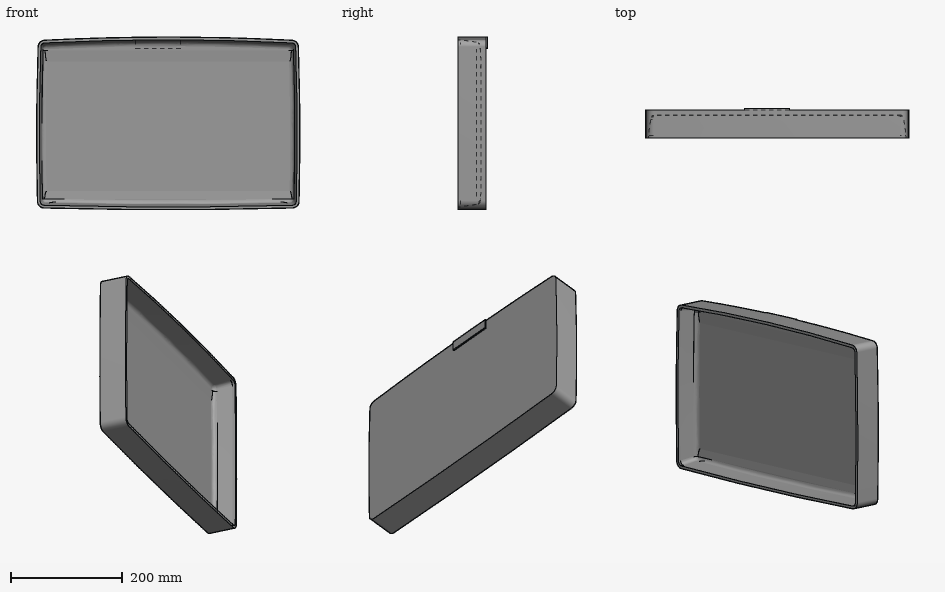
import cadquery as cq
import math

WIDTH = 471.34
HEIGHT = 309.16
TRAY_DEPTH = 50.8
PAD_THICKNESS = 2.54

TOP_RADIUS = 4350.0
BOTTOM_RADIUS = 8330.0
SIDE_RADIUS = 4700.0
SIDE_CREST_Z = -22.0
CORNER_RADIUS = 12.7
CORNER_STEPS = 6

WALL = 5.08
INNER_RADIUS = CORNER_RADIUS - WALL
LIP_DEPTH = 5.08
DRAFT_ANGLE = 8.5
FLOOR_Y = 41.5
CHANNEL_Y = 40.2
FLAT_TOP_Z = 110.0
FLAT_BOTTOM_Z = -121.4
CHANNEL_TOP_Z = 130.0
CHANNEL_BOTTOM_Z = -135.6

PAD_WIDTH = 81.0
PAD_HEIGHT = 20.5
PAD_CENTER_X = -18.2


def arc_drop(radius, distance):
    """Fall of an arc below its crest at a distance from the crest."""
    return radius - math.sqrt(radius**2 - distance**2)


def side_x(z, inset):
    """Half width of the outline at height z."""
    return WIDTH / 2 - inset - arc_drop(SIDE_RADIUS - inset, z - SIDE_CREST_Z)


def top_z(x, inset):
    """Height of the top arc at x."""
    return HEIGHT / 2 - inset - arc_drop(TOP_RADIUS - inset, x)


def bottom_z(x, inset):
    """Height of the bottom arc at x."""
    return -HEIGHT / 2 + inset + arc_drop(BOTTOM_RADIUS - inset, x)


def corner(edge_z, inset):
    """Point where a side arc meets the top or bottom arc."""
    x = WIDTH / 2 - inset
    for _ in range(CORNER_STEPS):
        x = side_x(edge_z(x, inset), inset)
    return x, edge_z(x, inset)


def outline(inset, y):
    """Bowed four-arc outline, inset from the outer one, in the plane at depth y."""
    top_x, top_corner_z = corner(top_z, inset)
    bottom_x, bottom_corner_z = corner(bottom_z, inset)
    half_width = WIDTH / 2 - inset
    return (
        cq.Workplane("XZ", origin=(0, y, 0))
        .moveTo(-top_x, top_corner_z)
        .threePointArc((0, HEIGHT / 2 - inset), (top_x, top_corner_z))
        .threePointArc((half_width, SIDE_CREST_Z), (bottom_x, bottom_corner_z))
        .threePointArc((0, -HEIGHT / 2 + inset), (-bottom_x, bottom_corner_z))
        .threePointArc((-half_width, SIDE_CREST_Z), (-top_x, top_corner_z))
        .close()
    )


def outer_block(y_start, depth):
    """Solid with the rounded outer outline, from y_start back by depth."""
    return outline(0, y_start).extrude(-depth).edges("|Y").fillet(CORNER_RADIUS)


def lip_opening():
    """Straight-walled opening with rounded corners just behind the rim."""
    return outline(WALL, 0).extrude(-LIP_DEPTH).edges("|Y").fillet(INNER_RADIUS)


def drafted_pocket(floor_y):
    """Cavity behind the lip: sloping walls, rounded in the corners and around the floor."""
    floor_inset = WALL + (floor_y - LIP_DEPTH) * math.tan(math.radians(DRAFT_ANGLE))
    mouth = outline(WALL, LIP_DEPTH).val()
    floor = outline(floor_inset, floor_y).val()
    pocket = cq.Workplane(cq.Solid.makeLoft([mouth, floor], True))
    return pocket.edges("not <Y").fillet(INNER_RADIUS)


def floor_prism():
    """Straight prism with the floor profile: flat middle, strips sloping up to the channels."""
    profile = [
        (0, CHANNEL_TOP_Z),
        (CHANNEL_Y, CHANNEL_TOP_Z),
        (FLOOR_Y, FLAT_TOP_Z),
        (FLOOR_Y, FLAT_BOTTOM_Z),
        (CHANNEL_Y, CHANNEL_BOTTOM_Z),
        (0, CHANNEL_BOTTOM_Z),
    ]
    return cq.Workplane("YZ").polyline(profile).close().extrude(WIDTH / 2, both=True)


def cavity():
    """Lip opening, pocket down to the channels, and the deeper floor between them."""
    floor_recess = drafted_pocket(FLOOR_Y).intersect(floor_prism())
    return lip_opening().union(drafted_pocket(CHANNEL_Y)).union(floor_recess)


def back_pad():
    """Plain raised pad on the back; its top follows the bowed top side."""
    block = cq.Workplane("XY").box(PAD_WIDTH, TRAY_DEPTH, PAD_HEIGHT)
    block = block.translate((PAD_CENTER_X, TRAY_DEPTH, (HEIGHT - PAD_HEIGHT) / 2))
    return outer_block(TRAY_DEPTH, PAD_THICKNESS).intersect(block)


result = outer_block(0, TRAY_DEPTH).cut(cavity()).union(back_pad())